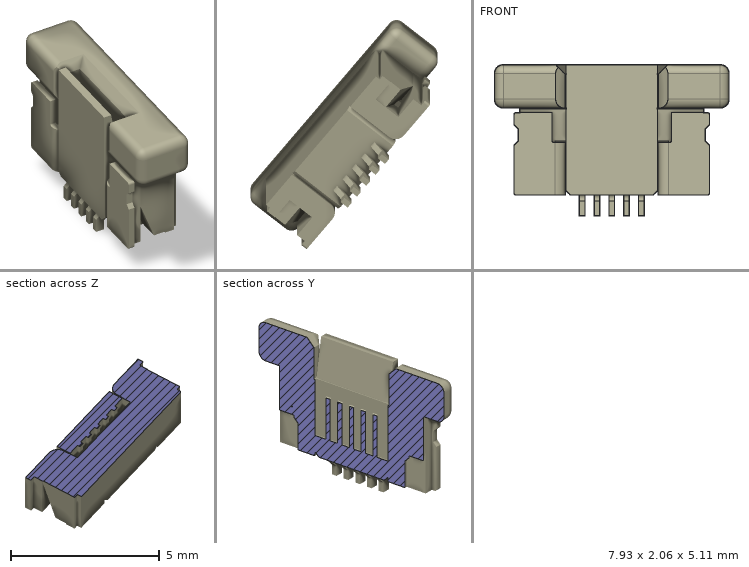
import cadquery as cq


back_y = 2.0
top_z = 4.41
front_y = -0.055

cap_width = 7.93
cap_bottom_z = 2.94
cap_fillet = 0.3
window_half_width = 1.585
window_back_y = 0.86
window_flare = 0.31

body_top_z = 2.92
body_front_y = 0.17
lip_half_width = 3.11
lip_back_y = 0.51
side_half_width = 3.09
rear_plate_half_width = 2.935
rear_plate_y = 1.83
neck_back_y = 1.49

undercut_top_z = 1.515
undercut_foot_y = 1.05
foot_step = 0.05
undercut_depth = 0.635
undercut_step = 0.16
undercut_step_z = 1.02

tongue_half_width = 1.54
tongue_tip = 0.28
tongue_thickness = 0.55
lead_in_height = 1.585
tongue_corner = 0.14
slot_floor_z = 0.79

pin_count = 5
pin_pitch = 0.5
pin_width = 0.2
pin_bottom_z = -0.7
pin_thickness = 0.3
pin_bend_z = -0.19
pin_back_bend_z = -0.325
pin_root_z = 0.08
contact_tip_y = 0.65
contact_top_z = 2.38
contact_fall = 0.03

tab_outer_x = 3.31
tab_inner_x = 2.015
tab_top_z = 2.79
tab_shoulder_z = 1.785
tab_corner = 0.08
shoulder_corner = 0.05
notch_depth = 0.14
notch_bottom_z = 1.69
notch_top_z = 2.38
bend_radius = 0.36
bend_outer_x = 1.91
bend_inner_x = bend_outer_x - bend_radius
bend_clearance = 0.05


def box(x0, x1, y0, y1, z0, z1):
    """Box between two opposite corners."""
    return cq.Workplane("XY").box(x1 - x0, y1 - y0, z1 - z0, centered=False).translate((x0, y0, z0))


def centred_box(half_width, y0, y1, z0, z1):
    """Box that is symmetric about X = 0."""
    return box(-half_width, half_width, y0, y1, z0, z1)


def side_profile(points, half_width, x=0):
    """Prism along X with a Y-Z outline, centred on the given X."""
    outline = cq.Workplane("YZ").polyline(points).close()
    return outline.extrude(half_width, both=True).translate((x, 0, 0))


def with_mirror(shape):
    """The shape together with its mirror image about X = 0."""
    return shape.union(shape.mirror("YZ"))


def make_window():
    """Open-fronted cable window, flared towards the top and the front."""
    wide = window_half_width + window_flare
    straight = centred_box(window_half_width, 0, window_back_y, cap_bottom_z, top_z)
    front_flare = (
        cq.Workplane("XY", origin=(0, 0, cap_bottom_z))
        .polyline(
            [
                (-wide, 0),
                (wide, 0),
                (window_half_width, window_flare),
                (-window_half_width, window_flare),
            ]
        )
        .close()
        .extrude(top_z - cap_bottom_z)
    )
    flare_depth = 2 * window_back_y
    top_flare = (
        cq.Workplane("XY", origin=(0, window_back_y - flare_depth / 2, top_z - window_flare))
        .rect(2 * window_half_width, flare_depth)
        .workplane(offset=window_flare)
        .rect(2 * wide, flare_depth + 2 * window_flare)
        .loft(ruled=True)
    )
    return straight.union(front_flare).union(top_flare)


def make_cap():
    """Rounded bar across the top with the cable window cut into its front."""
    cap = centred_box(cap_width / 2, 0, back_y, cap_bottom_z, top_z).edges().fillet(cap_fillet)
    return cap.cut(make_window())


def make_undercut():
    """Sloping cut in the left side of the body, deeper in its lower part."""
    prism = side_profile(
        [
            (lip_back_y, undercut_top_z),
            (undercut_foot_y, foot_step),
            (neck_back_y, foot_step),
            (neck_back_y, 0),
            (lip_back_y, 0),
        ],
        side_half_width,
    )
    wall_x = -side_half_width + undercut_depth
    stepped_depth = (
        cq.Workplane("XZ", origin=(0, back_y, 0))
        .polyline(
            [
                (-side_half_width, undercut_top_z),
                (wall_x, undercut_top_z),
                (wall_x, undercut_step_z + undercut_step),
                (wall_x + undercut_step, undercut_step_z),
                (wall_x + undercut_step, 0),
                (-side_half_width, 0),
            ]
        )
        .close()
        .extrude(back_y)
    )
    return prism.intersect(stepped_depth)


def make_body():
    """Housing under the cap, with side undercuts and openings for the tab bends."""
    lip = centred_box(lip_half_width, body_front_y, lip_back_y, 0, body_top_z)
    core = centred_box(side_half_width, lip_back_y, rear_plate_y, 0, body_top_z)
    rear_plate = centred_box(rear_plate_half_width, rear_plate_y, back_y, 0, body_top_z)
    neck = centred_box(side_half_width, lip_back_y, neck_back_y, body_top_z, cap_bottom_z)
    body = lip.union(core).union(rear_plate).union(neck)
    bend_opening = box(
        tongue_half_width, bend_outer_x, body_front_y, lip_back_y, 0, tab_shoulder_z + bend_clearance
    )
    return body.cut(with_mirror(make_undercut())).cut(with_mirror(bend_opening))


def make_tongue():
    """Front plate, tapered at the top to lead the cable in."""
    return side_profile(
        [
            (0, 0),
            (0, top_z),
            (tongue_tip, top_z),
            (tongue_thickness, top_z - lead_in_height),
            (tongue_thickness, 0),
        ],
        tongue_half_width,
    )


def make_corner_cut():
    """Sloped notch under the right-hand tongue corner, running through the whole depth."""
    return (
        cq.Workplane("XZ", origin=(0, back_y, 0))
        .polyline(
            [
                (tongue_half_width - tongue_corner, 0),
                (tongue_half_width, tongue_corner),
                (bend_inner_x, tongue_corner),
                (bend_inner_x, 0),
            ]
        )
        .close()
        .extrude(back_y)
    )


def make_slot():
    """Cable slot behind the tongue, with the window's full width above the body."""
    lower = centred_box(tongue_half_width, tongue_thickness, window_back_y, slot_floor_z, body_top_z)
    upper = centred_box(window_half_width, body_front_y, window_back_y, body_top_z, cap_bottom_z)
    return lower.union(upper)


def make_pin(x):
    """Solder pin below the body and the contact that it feeds in the slot."""
    pin_back_y = front_y + pin_thickness
    pin = side_profile(
        [
            (front_y, pin_bottom_z),
            (front_y, pin_bend_z),
            (front_y - pin_bend_z + pin_root_z, pin_root_z),
            (pin_back_y - pin_back_bend_z + pin_root_z, pin_root_z),
            (pin_back_y, pin_back_bend_z),
            (pin_back_y, pin_bottom_z),
        ],
        pin_width / 2,
        x,
    )
    contact = side_profile(
        [
            (tongue_thickness, slot_floor_z),
            (tongue_thickness, contact_top_z),
            (contact_tip_y, contact_top_z - contact_fall),
            (contact_tip_y, slot_floor_z),
        ],
        pin_width / 2,
        x,
    )
    return pin.union(contact)


def make_tab():
    """Right-hand metal tab with an edge notch and a rounded bend beside the tongue."""
    notch_x = tab_outer_x - notch_depth
    flat = (
        cq.Workplane("XZ", origin=(0, body_front_y, 0))
        .polyline(
            [
                (bend_outer_x, 0),
                (tab_outer_x, 0),
                (tab_outer_x, notch_bottom_z),
                (notch_x, notch_bottom_z + notch_depth),
                (notch_x, notch_top_z - notch_depth),
                (tab_outer_x, notch_top_z),
                (tab_outer_x, tab_top_z),
                (tab_inner_x, tab_top_z),
                (tab_inner_x, tab_shoulder_z),
                (bend_outer_x, tab_shoulder_z),
            ]
        )
        .close()
        .extrude(body_front_y - front_y)
    )
    flat = flat.edges("|Y and >X").edges("<Z or >Z").fillet(tab_corner)
    shoulder = cq.selectors.NearestToPointSelector((tab_inner_x, body_front_y, tab_shoulder_z))
    flat = flat.edges("|Y").edges(shoulder).fillet(shoulder_corner)
    bend_back_y = front_y + bend_radius
    bend = (
        cq.Workplane("XY")
        .moveTo(bend_outer_x, lip_back_y)
        .lineTo(bend_outer_x, front_y)
        .radiusArc((bend_inner_x, bend_back_y), bend_radius)
        .lineTo(bend_inner_x, lip_back_y)
        .close()
        .extrude(tab_shoulder_z)
    )
    return flat.union(bend)


result = make_cap().union(make_body()).union(make_tongue()).cut(make_slot())
result = result.cut(with_mirror(make_corner_cut()))
result = result.union(with_mirror(make_tab()))
for index in range(pin_count):
    result = result.union(make_pin((index - (pin_count - 1) / 2) * pin_pitch))